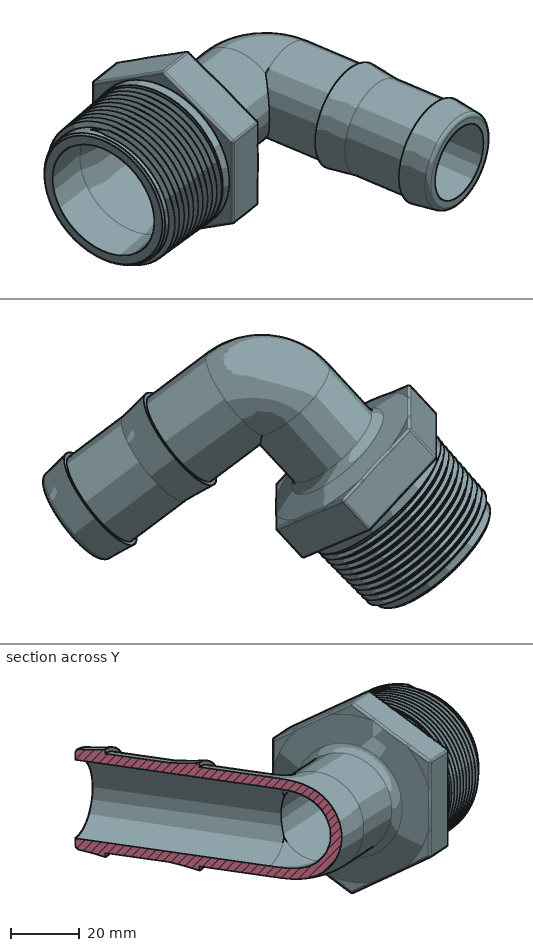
import cadquery as cq
import math


overall_length = 97.8
pipe_diameter = 30.5
bore_diameter = 23.9
bend_radius = 10.2
mouth_y = -76.2
mouth_diameter = 36.6
counterbore_depth = 13.3
mouth_cone_length = 21.9

barb_diameter = 33.1
first_barb_x = 32.6
barb_length = 9.7
hose_tip_round = 1.4

hex_across_flats = 50.8
hex_back_y = -34.4
hex_front_y = -47.2
hex_edge_round = 0.8
neck_base_radius = 25.5
neck_slope = 15.0
neck_fillet = 2.8

collar_diameter = 48.3
collar_end_y = -50.4
core_diameter = 43.5
core_end_chamfer = 0.6
thread_pitch = 2.21
thread_start_y = -73.5
thread_length = 22.9
thread_half_width = 1.1
thread_crest_radius = 24.1
thread_taper = 1 / 32
thread_sink = 0.3
thread_fade_angle = 17
thread_fade_scale = 0.3

hose_end_x = overall_length - hex_across_flats / 2
tip_barb_x = hose_end_x - barb_length
pipe_radius = pipe_diameter / 2
barb_radius = barb_diameter / 2
core_radius = core_diameter / 2


def rod_along_y(diameter, y_from, y_to):
    """Cylinder on the threaded-leg axis, from y_from down to y_to."""
    return cq.Workplane("XZ", origin=(0, y_from, 0)).circle(diameter / 2).extrude(y_from - y_to)


def rod_along_x(diameter, x_from, x_to):
    """Cylinder on the hose-leg axis."""
    return cq.Workplane("YZ", origin=(x_from, 0, 0)).circle(diameter / 2).extrude(x_to - x_from)


def turned_about_y(points):
    """Solid of revolution about the threaded-leg axis from (radius, y) points."""
    return cq.Workplane("XY").polyline(points).close().revolve(360, (0, 0, 0), (0, 1, 0))


def elbow(diameter, y_end, x_end):
    """Two round legs joined by a quarter bend whose section is cut off at the bend axis."""
    radius = diameter / 2
    half_chord = math.sqrt(radius**2 - bend_radius**2)
    bend = (
        cq.Workplane("XZ", origin=(0, -bend_radius, 0))
        .moveTo(bend_radius, half_chord)
        .threePointArc((-radius, 0), (bend_radius, -half_chord))
        .close()
        .revolve(90, (bend_radius, 1, 0), (bend_radius, 0, 0))
    )
    lower_leg = rod_along_y(diameter, -bend_radius, y_end)
    hose_leg = rod_along_x(diameter, bend_radius, x_end)
    return bend.union(lower_leg).union(hose_leg)


def barb(start):
    """Hose barb: a square shoulder that tapers down to the pipe towards the hose tip."""
    end = start + barb_length
    profile = [(start, 0), (start, barb_radius), (end, pipe_radius), (end, 0)]
    return cq.Workplane("XY").polyline(profile).close().revolve(360, (0, 0, 0), (1, 0, 0))


def hex_prism(y_from, y_to):
    """Sharp hexagonal prism on the threaded-leg axis with two flats facing along X."""
    across_corners = hex_across_flats / math.cos(math.radians(30))
    return (
        cq.Workplane("XZ", origin=(0, y_from, 0))
        .transformed(rotate=(0, 0, 30))
        .polygon(6, across_corners)
        .extrude(y_from - y_to)
    )


def hexagon_with_neck():
    """Wrench hexagon and the shallow cone behind it, blended into the pipe and trimmed by the flats."""
    top_y = hex_back_y + (neck_base_radius - pipe_radius) * math.tan(math.radians(neck_slope))
    start_y = -bend_radius - pipe_radius / 2
    profile = [(0, start_y), (pipe_radius, start_y), (pipe_radius, top_y), (neck_base_radius, hex_back_y)]
    profile += [(0, hex_back_y)]
    blend_edge = cq.selectors.NearestToPointSelector((-pipe_radius, top_y, 0))
    neck = turned_about_y(profile).edges(blend_edge).fillet(neck_fillet)
    trimmed_neck = neck.intersect(hex_prism(start_y, hex_front_y))
    return trimmed_neck.union(hex_prism(hex_back_y, hex_front_y)).faces("#Y").edges().fillet(hex_edge_round)


def thread():
    """Right-handed tapered V ridge, wound from the mouth up to the collar, with a fading start."""
    taper_angle = math.degrees(math.atan(thread_taper))
    crest_radius = thread_crest_radius - thread_taper * thread_length
    root_radius = core_radius - thread_sink
    section = [(root_radius, -thread_half_width), (crest_radius, 0), (root_radius, thread_half_width)]
    path = cq.Wire.makeHelix(thread_pitch, thread_length, root_radius, angle=taper_angle)
    ridge = cq.Workplane("XZ").polyline(section).close().sweep(cq.Workplane(obj=path), isFrenet=True)

    tip_crest_radius = root_radius + thread_fade_scale * (crest_radius - root_radius)
    tip_half_width = thread_fade_scale * thread_half_width
    tip_section = [(root_radius, -tip_half_width), (tip_crest_radius, 0), (root_radius, tip_half_width)]
    start_face = cq.Workplane("XZ").polyline(section).close().val()
    tip_face = cq.Workplane("XZ").polyline(tip_section).close().val()
    tip_face = tip_face.rotate(cq.Vector(0, 0, 0), cq.Vector(0, 0, 1), -thread_fade_angle)
    fade = cq.Solid.makeLoft([start_face, tip_face], True)

    return (
        ridge.union(cq.Workplane(obj=fade))
        .rotate((0, 0, 0), (0, 0, 1), -90)
        .rotate((0, 0, 0), (1, 0, 0), -90)
        .translate((0, thread_start_y, 0))
    )


def core():
    """Slightly tapered root body of the thread."""
    rise = thread_taper * (collar_end_y - mouth_y)
    profile = [(0, mouth_y), (core_radius, mouth_y), (core_radius + rise, collar_end_y), (0, collar_end_y)]
    return turned_about_y(profile).faces("<Y").edges().chamfer(core_end_chamfer)


def passage():
    """Bore through both legs, opening through a cone into a counterbore at the threaded mouth."""
    cone_start = mouth_y + counterbore_depth
    cone_end = cone_start + mouth_cone_length
    mouth_radius = mouth_diameter / 2
    profile = [(0, mouth_y), (mouth_radius, mouth_y), (mouth_radius, cone_start)]
    profile += [(bore_diameter / 2, cone_end), (0, cone_end)]
    return elbow(bore_diameter, mouth_y, hose_end_x).union(turned_about_y(profile))


tip_barb = barb(tip_barb_x).faces(">X").edges().fillet(hose_tip_round)

body = elbow(pipe_diameter, hex_back_y, tip_barb_x)
body = body.union(barb(first_barb_x)).union(tip_barb)
body = body.union(hexagon_with_neck())
body = body.union(rod_along_y(collar_diameter, hex_front_y, collar_end_y))
body = body.union(core()).union(thread())

result = body.cut(passage())